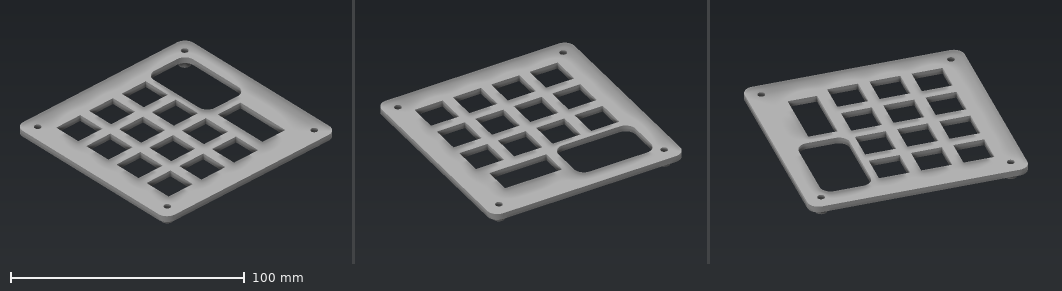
import cadquery as cq

plate_width = 95.6
plate_length = 99.1
plate_thickness = 3.0
corner_radius = 5.0

total_height = 7.0
boss_height = total_height - plate_thickness
boss_diameter = 5.5
screw_hole_diameter = 3.4
screw_inset = 6.8

key_columns = 4
key_rows = 3
key_size = 14.0
key_pitch = 19.0
key_grid_center = (0.4, -11.3)

round_window_size = (38.3, 23.0)
round_window_center = (-19.3, 29.4)
round_window_radius = 5.0

display_size = (28.2, 13.3)
display_center = (18.4, 27.0)


def window(size, center):
    """Rectangular block that cuts through the plate."""
    return cq.Workplane("XY").center(*center).rect(*size).extrude(plate_thickness)


def at_screws(start_z):
    """Workplane with a point at each of the four screw positions."""
    spacing_x = plate_width - 2 * screw_inset
    spacing_y = plate_length - 2 * screw_inset
    screw_plane = cq.Workplane("XY").workplane(offset=start_z)
    return screw_plane.rect(spacing_x, spacing_y, forConstruction=True).vertices()


plate = (
    cq.Workplane("XY")
    .rect(plate_width, plate_length)
    .extrude(plate_thickness)
    .edges("|Z")
    .fillet(corner_radius)
)

bosses = at_screws(-boss_height).circle(boss_diameter / 2).extrude(boss_height)
screw_holes = at_screws(-boss_height).circle(screw_hole_diameter / 2).extrude(total_height)

key_openings = (
    cq.Workplane("XY")
    .center(*key_grid_center)
    .rarray(key_pitch, key_pitch, key_columns, key_rows)
    .rect(key_size, key_size)
    .extrude(plate_thickness)
)

round_window = window(round_window_size, round_window_center).edges("|Z").fillet(round_window_radius)
display_window = window(display_size, display_center)

result = plate.union(bosses).cut(screw_holes).cut(key_openings).cut(round_window).cut(display_window)